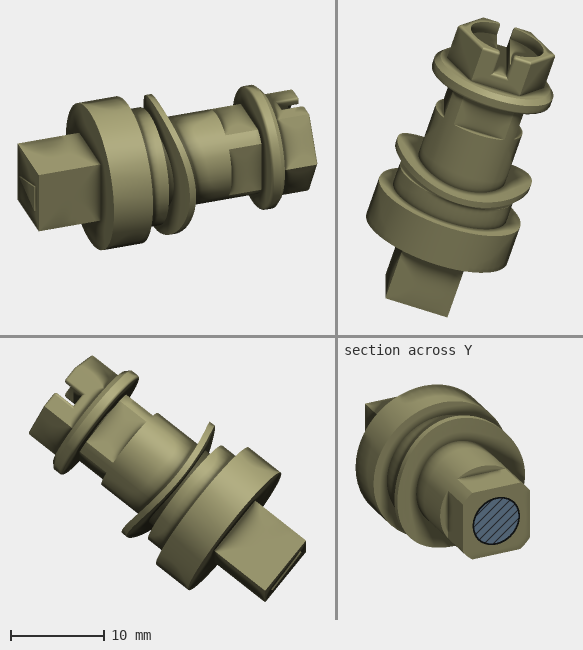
import cadquery as cq
import math


arrow_height = 0.2
drive_length = 6.98
flange_thickness = 4.42
step_length = 2.37
shaft_length = 7.6
neck_length = 3.68
stem_length = 0.28
collar_thickness = 1.62
total_length = 31.15

drive_width = 7.0
flange_diameter = 16.0
step_diameter = 12.83
shaft_diameter = 9.8
neck_width = 7.97
stem_diameter = 5.5
collar_diameter = 13.45
hex_across_flats = 9.5

arrow_length = 4.98
arrow_width = 3.0

collar_chamfer = 0.53
collar_fillet = 0.28
head_fillet = 0.3

slot_width = 1.5
slot_depth = 2.45
recess_diameter = 8.22
recess_depth = 1.28

washer_diameter = 15.2
washer_thickness = 0.65
washer_inner_radius = 19.25
washer_low_y = 14.4
washer_trim_factor = 1.1

drive_y = arrow_height
flange_y = drive_y + drive_length
step_y = flange_y + flange_thickness
shaft_y = step_y + step_length
neck_y = shaft_y + shaft_length
stem_y = neck_y + neck_length
collar_y = stem_y + stem_length
head_y = collar_y + collar_thickness
head_length = total_length - head_y


def section(y):
    """Sketch plane normal to the pin axis, with local X along X, local Y along Z, extruding to -Y."""
    return cq.Workplane("XZ", origin=(0, y, 0))


def cylinder(y, length, diameter):
    return section(y).circle(diameter / 2).extrude(-length)


def square_bar(y, length, width):
    return section(y).rect(width, width).extrude(-length)


def make_arrow():
    outline = [
        (-arrow_length / 2, 0),
        (arrow_length / 2, arrow_width / 2),
        (arrow_length / 2, -arrow_width / 2),
    ]
    return section(0).polyline(outline).close().extrude(-arrow_height)


def make_neck():
    """Four flats cut on the end of the shaft leave a square with rounded corners."""
    square = square_bar(neck_y, neck_length, neck_width)
    return cylinder(neck_y, neck_length, shaft_diameter).intersect(square)


def make_spring_washer():
    """A bent strip, made a little too long and then trimmed to a round outline."""
    outer_radius = washer_inner_radius + washer_thickness
    bend_axis_y = washer_low_y + outer_radius
    half_angle = math.asin(washer_diameter / 2 / washer_inner_radius)
    half_angle *= washer_trim_factor

    def bend_point(radius, angle):
        return radius * math.sin(angle), bend_axis_y - radius * math.cos(angle)

    bent_strip = (
        cq.Workplane("XY")
        .moveTo(*bend_point(outer_radius, -half_angle))
        .threePointArc(bend_point(outer_radius, 0), bend_point(outer_radius, half_angle))
        .lineTo(*bend_point(washer_inner_radius, half_angle))
        .threePointArc(bend_point(washer_inner_radius, 0), bend_point(washer_inner_radius, -half_angle))
        .close()
        .extrude(washer_diameter / 2, both=True)
    )
    return bent_strip.intersect(cylinder(shaft_y, shaft_length, washer_diameter))


def make_collar():
    collar = cylinder(collar_y, collar_thickness, collar_diameter)
    collar = collar.faces(">Y").chamfer(collar_chamfer)
    return collar.faces("<Y").edges().fillet(collar_fillet)


def make_head():
    """Hexagonal head with two corners on X, a round recess in its end and a slot along Z."""
    hex_across_corners = hex_across_flats / math.cos(math.pi / 6)
    head = section(head_y).polygon(6, hex_across_corners).extrude(-head_length)
    head = head.faces(">Y").edges().fillet(head_fillet)

    slot_floor_y = total_length - slot_depth
    slot = section(slot_floor_y).rect(slot_width, hex_across_corners).extrude(-slot_depth)
    head = head.cut(slot)

    slot_mouth = cq.selectors.BoxSelector(
        (-slot_width, slot_floor_y - head_fillet, -hex_across_corners),
        (slot_width, total_length, hex_across_corners),
    )
    head = head.faces("<Z or >Z").edges(slot_mouth).fillet(head_fillet)

    recess = cylinder(total_length - recess_depth, recess_depth, recess_diameter)
    return head.cut(recess)


result = cylinder(flange_y, flange_thickness, flange_diameter)
for piece in (
    make_arrow(),
    square_bar(drive_y, drive_length, drive_width),
    cylinder(step_y, step_length, step_diameter),
    cylinder(shaft_y, shaft_length, shaft_diameter),
    make_spring_washer(),
    make_neck(),
    cylinder(stem_y, stem_length, stem_diameter),
    make_collar(),
    make_head(),
):
    result = result.union(piece)